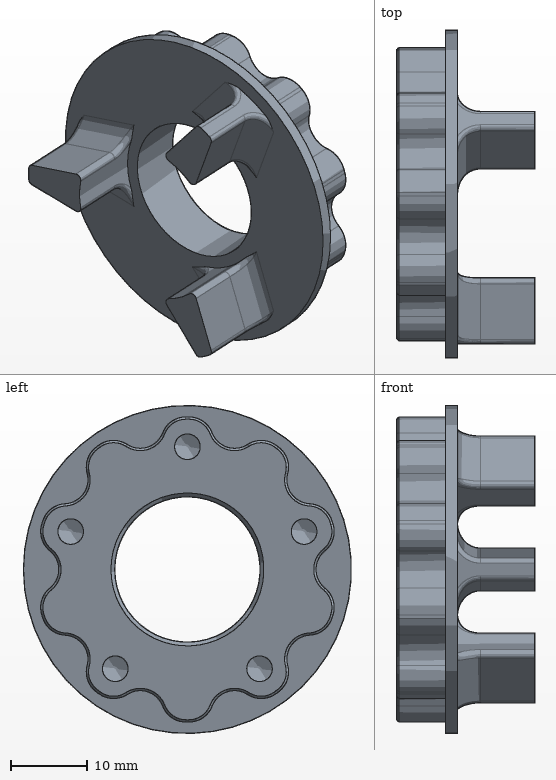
import cadquery as cq
import math

FLANGE_DIAMETER = 43.0
TOTAL_LENGTH = 18.15
HUB_LENGTH = 6.4
FLANGE_THICKNESS = 1.6
FLANGE_BACK = HUB_LENGTH + FLANGE_THICKNESS
LEG_LENGTH = TOTAL_LENGTH - FLANGE_BACK

BORE_DIAMETER = 19.0
BORE_CHAMFER = 0.5

LOBE_COUNT = 10
LOBE_TIP_RADIUS = 20.0
LOBE_ROUND = 3.25
VALLEY_ROUND = 3.15
HUB_CHAMFER = 0.3

HOLE_COUNT = 5
HOLE_CIRCLE_RADIUS = 16.1
HOLE_DIAMETER = 3.35
HOLE_DEPTH = 5.15
DRILL_POINT_ANGLE = 118.0

LEG_COUNT = 3
LEG_INNER_RADIUS = 11.15
LEG_OUTER_RADIUS = 19.65
LEG_INNER_HALF_WIDTH = 2.92
LEG_OUTER_HALF_WIDTH = 1.38
LEG_ROOT_FILLET = 3.0
LEG_CORNER_FILLET = 0.7


def polar(radius, degrees):
    """Point in the YZ plane, measured from +Y towards +Z."""
    angle = math.radians(degrees)
    return (radius * math.cos(angle), radius * math.sin(angle))


def disc(diameter, start, length):
    """Cylinder on the part axis."""
    return cq.Workplane("YZ", origin=(start, 0, 0)).circle(diameter / 2).extrude(length)


def make_hub():
    """Disc notched by round valleys, with rounded lobes and a chamfered front rim."""
    pitch = 360 / LOBE_COUNT
    hub = disc(2 * LOBE_TIP_RADIUS, 0, HUB_LENGTH)
    for index in range(LOBE_COUNT):
        valley_centre = polar(LOBE_TIP_RADIUS, 90 + pitch * (index + 0.5))
        hub = hub.cut(cq.Workplane("YZ").center(*valley_centre).circle(VALLEY_ROUND).extrude(HUB_LENGTH))
    return hub.edges("|X").fillet(LOBE_ROUND).faces("<X").chamfer(HUB_CHAMFER)


def make_hole_cutter():
    """Drill shape for the hole above the axis."""
    radius = HOLE_DIAMETER / 2
    point_length = radius / math.tan(math.radians(DRILL_POINT_ANGLE / 2))
    profile = (
        cq.Workplane("XZ")
        .polyline([(0, 0), (0, radius), (HOLE_DEPTH, radius), (HOLE_DEPTH + point_length, 0)])
        .close()
    )
    return profile.revolve(360, (0, 0, 0), (1, 0, 0)).translate((0, 0, HOLE_CIRCLE_RADIUS))


def make_leg():
    """Leg along -Y with flared flanks, standing on a base plate that merges into the flange."""
    overrun = 2.15
    taper = (LEG_INNER_HALF_WIDTH - LEG_OUTER_HALF_WIDTH) / (LEG_OUTER_RADIUS - LEG_INNER_RADIUS)
    start = LEG_INNER_RADIUS - overrun
    end = LEG_OUTER_RADIUS + overrun
    start_half_width = LEG_INNER_HALF_WIDTH + taper * overrun
    end_half_width = LEG_OUTER_HALF_WIDTH - taper * overrun

    wedge = (
        cq.Workplane("YZ", origin=(HUB_LENGTH, 0, 0))
        .polyline([
            (-start, -start_half_width),
            (-end, -end_half_width),
            (-end, end_half_width),
            (-start, start_half_width),
        ])
        .close()
        .extrude(FLANGE_THICKNESS + LEG_LENGTH)
    )
    plate = (
        cq.Workplane("YZ", origin=(HUB_LENGTH, -(start + end) / 2, 0))
        .rect(end - start, FLANGE_DIAMETER)
        .extrude(FLANGE_THICKNESS)
    )
    margin = 0.05
    flank_roots = cq.selectors.BoxSelector(
        (FLANGE_BACK - margin, -end, -start_half_width),
        (FLANGE_BACK + margin, -start, start_half_width),
    )
    body = plate.union(wedge).edges(flank_roots).edges("not(|Z)").fillet(LEG_ROOT_FILLET)

    ring_length = FLANGE_THICKNESS + LEG_LENGTH
    outer_cylinder = disc(2 * LEG_OUTER_RADIUS, HUB_LENGTH, ring_length)
    inner_cylinder = disc(2 * LEG_INNER_RADIUS, HUB_LENGTH, ring_length)
    leg = body.intersect(outer_cylinder).cut(inner_cylinder)
    corners = cq.selectors.BoxSelector(
        (FLANGE_BACK, -end, -start_half_width),
        (TOTAL_LENGTH, 0, start_half_width),
    )
    return leg.edges("|X").edges(corners).fillet(LEG_CORNER_FILLET)


def around_axis(shape, count):
    """Copies of a shape spaced evenly about the X axis."""
    return [shape.rotate((0, 0, 0), (1, 0, 0), 360 / count * index) for index in range(count)]


flange = disc(FLANGE_DIAMETER, HUB_LENGTH, FLANGE_THICKNESS)
bore = disc(BORE_DIAMETER, 0, FLANGE_BACK)
result = make_hub().union(flange).cut(bore)
result = result.faces("<X").edges(cq.selectors.NearestToPointSelector((0, 0, 0))).chamfer(BORE_CHAMFER)

for leg in around_axis(make_leg(), LEG_COUNT):
    result = result.union(leg)

for hole in around_axis(make_hole_cutter(), HOLE_COUNT):
    result = result.cut(hole)